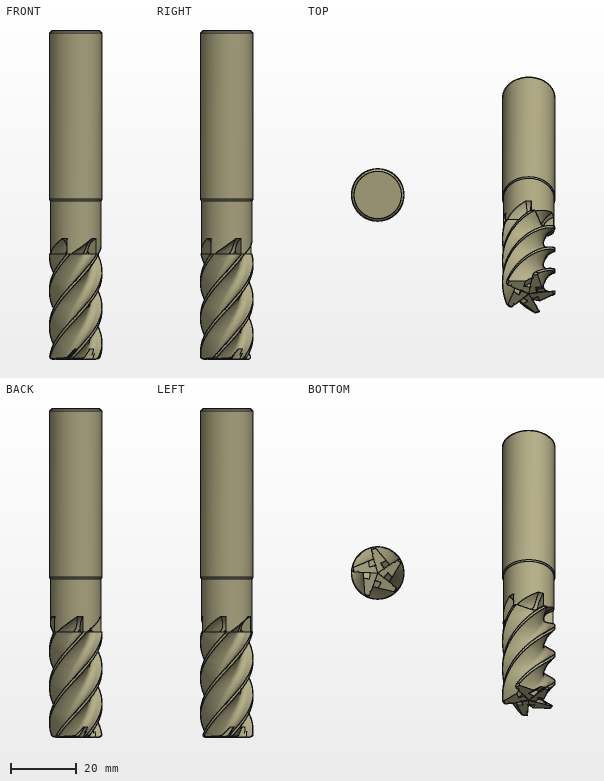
import cadquery as cq
import math

TOTAL_LENGTH = 100.0
CUTTING_LENGTH = 32.0
CUTTER_RADIUS = 8.0
SHANK_RADIUS = CUTTER_RADIUS
NECK_DIAMETER = 15.5
NECK_RADIUS = NECK_DIAMETER / 2
SHOULDER_START = 48.2
SHOULDER_HEIGHT = 0.5
TOP_CHAMFER = 0.8

CORNER_RADIUS = 1.2
END_FLAT_RADIUS = 6.9

FLUTE_COUNT = 5
FLUTE_PITCH = 360.0 / FLUTE_COUNT
HELIX_LEAD = 54.2
EDGE_START_ANGLE = -34.5
LAND_ANGLE = 8.0
RELIEF_END_ANGLE = 46.0
RELIEF_END_RADIUS = 4.6
GULLET_MIDDLE_RADIUS = 4.7
GULLET_MIDDLE_ANGLE = 65.0
RAKE_FOOT_RADIUS = 6.1
RAKE_FOOT_ANGLE = 73.5

GASH_HEIGHT = 3.1
GASH_LEAN = 2.0
GASH_TOP_WIDTH = 1.0
GASH_WIDTH = 2.2
GASH_START_RADIUS = 2.4
END_RELIEF_SLOPE = 0.15

RUNOUT_HEIGHT = 4.7
RUNOUT_TWIST = 50.0
RUNOUT_FLOOR_RADIUS = RELIEF_END_RADIUS
RUNOUT_BULGE = 0.7

CLEARANCE = 2.0
OUTER_RADIUS = CUTTER_RADIUS + CLEARANCE


def twist_at(height):
    """Rotation of the helix, in degrees, after rising by height."""
    return 360.0 * height / HELIX_LEAD


def polar(radius, angle):
    """Point in the XY plane at a radius and an angle in degrees."""
    return (radius * math.cos(math.radians(angle)), radius * math.sin(math.radians(angle)))


def add_flute_wall(section, edge):
    """Draw the relief, gullet and rake face behind the tooth whose edge is at angle edge."""
    return (
        section
        .lineTo(*polar(RELIEF_END_RADIUS, edge + RELIEF_END_ANGLE))
        .threePointArc(
            polar(GULLET_MIDDLE_RADIUS, edge + GULLET_MIDDLE_ANGLE),
            polar(RAKE_FOOT_RADIUS, edge + RAKE_FOOT_ANGLE),
        )
        .lineTo(*polar(CUTTER_RADIUS, edge + FLUTE_PITCH))
    )


def tooth_section():
    """Cross-section of all the teeth at the end of the cutter."""
    section = cq.Workplane("XY").moveTo(*polar(CUTTER_RADIUS, EDGE_START_ANGLE))
    for tooth in range(FLUTE_COUNT):
        edge = EDGE_START_ANGLE + tooth * FLUTE_PITCH
        section = section.threePointArc(
            polar(CUTTER_RADIUS, edge + LAND_ANGLE / 2),
            polar(CUTTER_RADIUS, edge + LAND_ANGLE),
        )
        section = add_flute_wall(section, edge)
    return section.close()


def flute_section(edge):
    """Cross-section of the space between one tooth and the next, open past the outside."""
    section = cq.Workplane("XY").moveTo(*polar(CUTTER_RADIUS, edge + LAND_ANGLE))
    section = add_flute_wall(section, edge)
    return (
        section
        .lineTo(*polar(OUTER_RADIUS, edge + FLUTE_PITCH))
        .threePointArc(
            polar(OUTER_RADIUS, edge + (LAND_ANGLE + FLUTE_PITCH) / 2),
            polar(OUTER_RADIUS, edge + LAND_ANGLE),
        )
        .close()
    )


def make_corner_cutter():
    """Ring that rounds the lower corner of every tooth."""
    arc_end_radius = END_FLAT_RADIUS + CORNER_RADIUS
    arc_middle = CORNER_RADIUS * math.sqrt(0.5)
    return (
        cq.Workplane("XZ")
        .moveTo(END_FLAT_RADIUS, 0)
        .threePointArc(
            (END_FLAT_RADIUS + arc_middle, CORNER_RADIUS - arc_middle),
            (arc_end_radius, CORNER_RADIUS),
        )
        .lineTo(OUTER_RADIUS, CORNER_RADIUS)
        .lineTo(OUTER_RADIUS, -CLEARANCE)
        .lineTo(END_FLAT_RADIUS, -CLEARANCE)
        .close()
        .revolve(360, (0, 0), (0, 1))
    )


def make_sector(edge, height):
    """Upright wedge from one cutting edge to the next, reaching past the outside."""
    return (
        cq.Workplane("XY")
        .polyline([
            (0, 0),
            polar(2 * OUTER_RADIUS, edge),
            polar(2 * OUTER_RADIUS, edge + FLUTE_PITCH),
        ])
        .close()
        .extrude(height)
    )


def make_gash(edge):
    """Flat-sided notch in front of one end edge, its wall leaning with the helix."""
    return (
        cq.Workplane("YZ").workplane(offset=GASH_START_RADIUS)
        .polyline([
            (0, 0),
            (GASH_LEAN, GASH_HEIGHT),
            (GASH_LEAN - GASH_TOP_WIDTH, GASH_HEIGHT),
            (-GASH_WIDTH, 0),
        ])
        .close()
        .extrude(CUTTER_RADIUS)
        .rotate((0, 0, 0), (0, 0, 1), edge)
    )


def make_end_relief(edge):
    """Wedge that slopes the end face of one tooth upward behind its edge."""
    slope = (
        cq.Workplane("YZ")
        .polyline([(0, 0), (OUTER_RADIUS, OUTER_RADIUS * END_RELIEF_SLOPE), (OUTER_RADIUS, 0)])
        .close()
        .extrude(OUTER_RADIUS)
        .rotate((0, 0, 0), (0, 0, 1), edge)
    )
    return slope.intersect(make_sector(edge, CUTTER_RADIUS))


def make_cutting_head():
    """Fluted lower body with rounded corners and ground end teeth."""
    teeth = tooth_section().twistExtrude(CUTTING_LENGTH, twist_at(CUTTING_LENGTH))
    teeth = teeth.cut(make_corner_cutter())
    for tooth in range(FLUTE_COUNT):
        edge = EDGE_START_ANGLE + tooth * FLUTE_PITCH
        teeth = teeth.cut(make_end_relief(edge)).cut(make_gash(edge))
    return teeth


def make_runout_ring():
    """Ring-shaped space whose curved floor rises from the flute bottom to the neck surface."""
    top = CUTTING_LENGTH + RUNOUT_HEIGHT
    floor_middle = (
        (RUNOUT_FLOOR_RADIUS + NECK_RADIUS) / 2 - RUNOUT_BULGE,
        (CUTTING_LENGTH + top) / 2 + RUNOUT_BULGE,
    )
    return (
        cq.Workplane("XZ")
        .moveTo(RUNOUT_FLOOR_RADIUS, CUTTING_LENGTH)
        .threePointArc(floor_middle, (NECK_RADIUS, top))
        .lineTo(CUTTER_RADIUS, top)
        .lineTo(CUTTER_RADIUS, CUTTING_LENGTH)
        .close()
        .revolve(360, (0, 0), (0, 1))
    )


def make_runout(edge):
    """Space where one flute rises out of the neck, ending at an upright rake wall."""
    margin_twist = RUNOUT_TWIST * CLEARANCE / RUNOUT_HEIGHT
    height = RUNOUT_HEIGHT + 2 * CLEARANCE
    flute = flute_section(edge - margin_twist).twistExtrude(height, RUNOUT_TWIST + 2 * margin_twist)
    sector = make_sector(edge, height)
    bottom = (0, 0, CUTTING_LENGTH - CLEARANCE)
    return make_runout_ring().intersect(flute.translate(bottom)).intersect(sector.translate(bottom))


def make_shank():
    """Plain upper body: neck with flute run-outs, shoulder and chamfered shank."""
    blank = (
        cq.Workplane("XZ")
        .polyline([
            (0, CUTTING_LENGTH),
            (NECK_RADIUS, CUTTING_LENGTH),
            (NECK_RADIUS, SHOULDER_START),
            (SHANK_RADIUS, SHOULDER_START + SHOULDER_HEIGHT),
            (SHANK_RADIUS, TOTAL_LENGTH - TOP_CHAMFER),
            (SHANK_RADIUS - TOP_CHAMFER, TOTAL_LENGTH),
            (0, TOTAL_LENGTH),
        ])
        .close()
        .revolve(360, (0, 0), (0, 1))
    )
    for flute in range(FLUTE_COUNT):
        edge = EDGE_START_ANGLE + twist_at(CUTTING_LENGTH) + flute * FLUTE_PITCH
        blank = blank.cut(make_runout(edge))
    return blank


cutting_head = make_cutting_head()
shank = make_shank()
result = cq.Compound.makeCompound([cutting_head.val(), shank.val()])